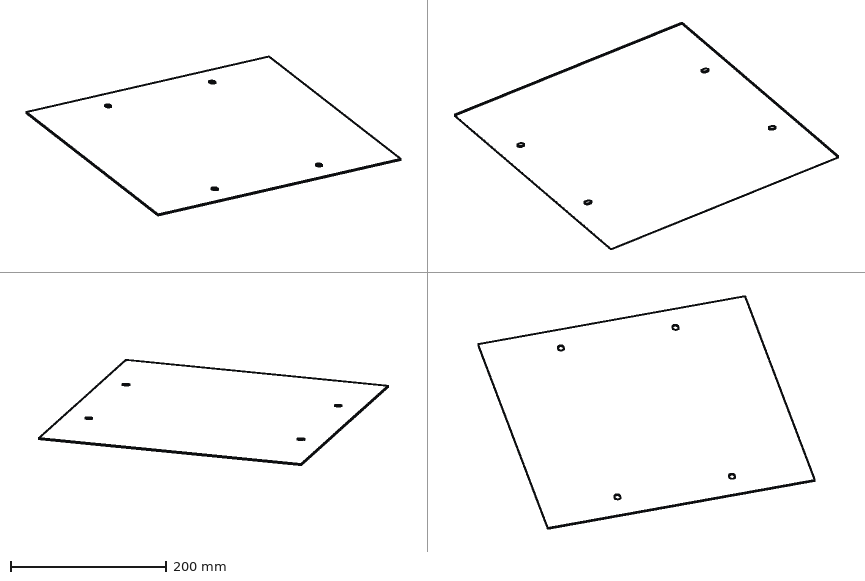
import cadquery as cq

side = 355.5
thickness = 1.9

slot_spacing_x = 288.0
slot_spacing_y = 152.5
slot_length = 9.5
slot_width = 7.5

plate = cq.Workplane("XY").box(side, side, thickness)

result = (
    plate.faces(">Z")
    .workplane()
    .rarray(slot_spacing_x, slot_spacing_y, 2, 2)
    .slot2D(slot_length, slot_width)
    .cutThruAll()
)